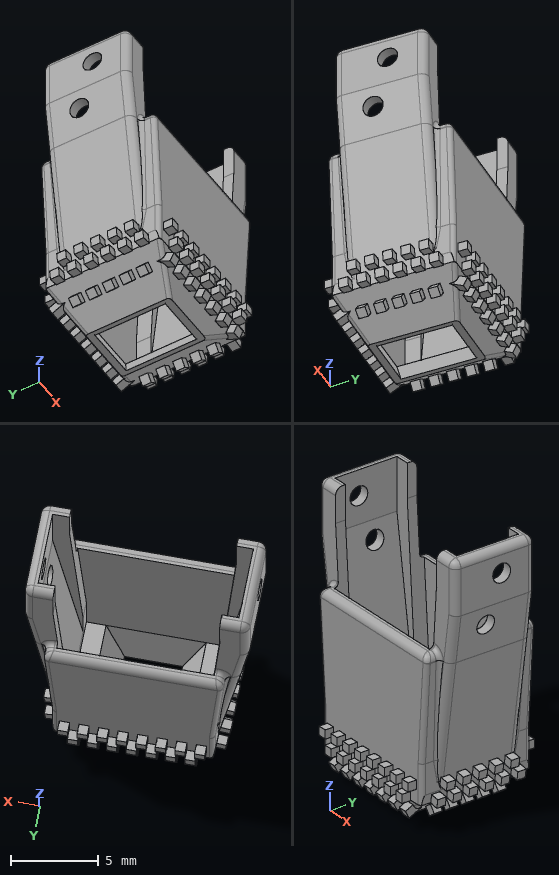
import cadquery as cq
import math

part_height = 18.3
body_top = 12.0
neck_top = 4.75
nose_top = 2.05
leg_bend = 14.75
leg_inner_bend = 16.0

body_half_x = 4.75
body_half_y = 3.9
wall = 0.7
end_wall = 0.68
body_draft = math.tan(math.radians(4))
corner_radius = 0.3
rim_radius = 0.5

nose_half_x = 1.98
nose_half_y = 2.87
opening_half_x = 1.68
opening_half_y = 2.38
funnel_half_x = 2.92

leg_half_x = 6.55
leg_half_y = 2.9
leg_foot_x = 4.65
leg_slope = (leg_half_x - leg_foot_x) / (leg_bend - nose_top)
leg_radius = 0.5
root_radius = 0.3

hole_diameter = 1.25
hole_offset_y = 0.5
upper_hole_z = 16.6
lower_hole_z = 13.5

stud_size = 0.6
stud_root = 0.4
stud_pitch = 1.14
upper_row_z = 3.3
middle_row_z = 2.31
nose_row_side_z = 1.43
nose_row_end_z = 1.25
end_counts = (5, 6, 5)
side_counts = (8, 7, 7)

root_overlap = 0.2
root_end_z = 3.3
kernel_gap = 0.001

cavity_half_x = body_half_x - end_wall
cavity_half_y = body_half_y - wall
body_top_half_x = body_half_x + body_draft * (body_top - neck_top)
rim_start = body_top - rim_radius
nose_slope_x = (leg_foot_x - nose_half_x) / nose_top
nose_slope_y = (body_half_y - nose_half_y) / nose_top


def leg_face_x(z):
    """X of the slanted outer face of the right leg."""
    return leg_foot_x + leg_slope * (z - nose_top)


def end_wall_x(z):
    """X of the outer end wall of the body."""
    return body_half_x + body_draft * max(0, z - neck_top)


def mirrored_prism(right_side, half_y):
    """Prism along Y whose XZ outline is the given right side and its mirror image."""
    left_side = [(-x, z) for x, z in reversed(right_side)]
    outline = cq.Workplane("XZ").polyline(right_side + left_side).close()
    return outline.extrude(half_y, both=True)


def frustum(bottom_half_x, bottom_half_y, top_half_x, top_half_y):
    """Four-sided taper from z = 0 to the top of the nose."""
    bottom = cq.Workplane("XY").rect(2 * bottom_half_x, 2 * bottom_half_y)
    top = bottom.workplane(offset=nose_top).rect(2 * top_half_x, 2 * top_half_y)
    return top.loft(ruled=True)


def mirrored_four_ways(shape):
    """The shape together with its mirror images in X and in Y."""
    pair = shape.union(shape.mirror("YZ"))
    return pair.union(pair.mirror("XZ"))


def slab(bottom, top):
    """Wide block that spans the given heights."""
    width = 2 * part_height
    return cq.Workplane("XY", origin=(0, 0, bottom)).rect(width, width).extrude(top - bottom)


def make_body():
    """Body block with rounded corners and rim, its foot trimmed by the slope of the legs."""
    shell = mirrored_prism(
        [
            (body_half_x, nose_top),
            (body_half_x, neck_top),
            (body_top_half_x, body_top),
        ],
        body_half_y,
    )
    shell = shell.edges("not(#Z or |Y)").fillet(corner_radius)
    shell = shell.faces(">Z").edges().fillet(rim_radius)
    return shell.intersect(make_plain_legs(2 * body_half_y))


def make_nose():
    """Tapered nose below the body."""
    nose = frustum(nose_half_x, nose_half_y, leg_foot_x, body_half_y)
    return nose.edges("not #Z").fillet(corner_radius)


def make_plain_legs(half_y):
    """Both legs as one sharp-edged block that runs through the body."""
    return mirrored_prism(
        [
            (leg_foot_x, nose_top),
            (leg_half_x, leg_bend),
            (leg_half_x, part_height),
        ],
        half_y,
    )


def round_legs(legs):
    """Round the outer upright edges and the top edges of the legs."""
    corners = [
        edge
        for edge in legs.edges("not #Z").vals()
        if edge.geomType() == "LINE"
        and abs(edge.Center().x) > body_top_half_x
        and abs(edge.Center().y) > leg_half_y - kernel_gap
    ]
    legs = legs.newObject(corners).fillet(leg_radius)
    return legs.faces(">Z").edges().fillet(leg_radius - kernel_gap)


def make_upper_half(body, plain_legs):
    """Rim of the body and the legs above it, joined by hollow fillets."""
    joined = body.union(plain_legs).intersect(slab(rim_start, part_height))
    in_corner = cq.selectors.BoxSelector(
        (-body_top_half_x, -leg_half_y - kernel_gap, body_top - kernel_gap),
        (body_top_half_x, leg_half_y + kernel_gap, body_top + kernel_gap),
    )
    return round_legs(joined.edges("|X").edges(in_corner).fillet(root_radius))


def make_lower_half(body, plain_legs):
    """Body and legs below the rim, on top of the nose."""
    joined = body.union(round_legs(plain_legs)).intersect(slab(nose_top, rim_start))
    return joined.union(make_side_roots()).union(make_nose())


def root_section(z):
    """Section at height z between end wall and leg, closed by the arc of a rolling ball."""
    wall_x = end_wall_x(z)
    edge_centre_x = leg_face_x(z) - leg_radius
    edge_centre_y = leg_half_y - leg_radius
    ball_x = wall_x + root_radius
    reach = leg_radius + root_radius
    run_x = max(0, ball_x - edge_centre_x)
    ball_y = edge_centre_y + math.sqrt(reach**2 - run_x**2)
    turn = math.asin(run_x / reach)
    touch_x = ball_x - root_radius * math.sin(turn)
    touch_y = ball_y - root_radius * math.cos(turn)
    middle_angle = (math.pi + 1.5 * math.pi - turn) / 2
    middle = (
        ball_x + root_radius * math.cos(middle_angle),
        ball_y + root_radius * math.sin(middle_angle),
    )
    return (
        cq.Workplane("XY", origin=(0, 0, z))
        .moveTo(wall_x, ball_y)
        .threePointArc(middle, (touch_x, touch_y))
        .lineTo(touch_x, edge_centre_y)
        .lineTo(wall_x - root_overlap, edge_centre_y)
        .lineTo(wall_x - root_overlap, ball_y)
        .close()
        .val()
    )


def make_side_roots():
    """Hollow fillets that run down between the end walls and the rounded leg edges."""
    heights = [root_end_z, neck_top, rim_start]
    roots = cq.Workplane(cq.Solid.makeLoft([root_section(z) for z in heights], True))
    return mirrored_four_ways(roots)


def make_cavity():
    """Space inside the body, the leg channels and the funnel through the nose."""
    bend_half_x = cavity_half_x + body_draft * (leg_inner_bend - neck_top)
    room = mirrored_prism(
        [
            (cavity_half_x, nose_top),
            (cavity_half_x, neck_top),
            (bend_half_x, leg_inner_bend),
            (bend_half_x, part_height),
        ],
        cavity_half_y,
    )
    channels = mirrored_prism(
        [
            (leg_foot_x - wall, nose_top),
            (leg_half_x - wall, leg_bend),
            (leg_half_x - wall, part_height),
        ],
        leg_half_y - wall,
    )
    funnel = frustum(opening_half_x, opening_half_y, funnel_half_x, cavity_half_y)
    return room.union(channels).union(funnel)


def make_leg_holes():
    """Two cross holes in each leg; the legs are half a turn apart about Z."""
    centres = [(hole_offset_y, lower_hole_z), (-hole_offset_y, upper_hole_z)]
    left = cq.Workplane("YZ").pushPoints(centres).circle(hole_diameter / 2).extrude(-leg_half_x)
    return left.union(left.rotate((0, 0, 0), (0, 0, 1), 180))


def row_places(count):
    """Evenly pitched places of a row of studs, centred on zero."""
    return [stud_pitch * (i - (count - 1) / 2) for i in range(count)]


def stud_row(count, surface, z, lean):
    """Solids of a row of studs on the face at x = surface, leaning down by the given angle."""
    length = stud_size + stud_root
    stud = cq.Workplane("XY").box(length, stud_size, stud_size)
    stud = stud.translate((length / 2 - stud_root, 0, 0)).rotate((0, 0, 0), (0, 1, 0), lean)
    return [stud.translate((surface, y, z)).val() for y in row_places(count)]


def make_studs():
    """Solids of three rows of studs on each of the four sides."""
    leg_lean = math.degrees(math.atan(leg_slope))
    end_lean = math.degrees(math.atan(nose_slope_x))
    side_lean = math.degrees(math.atan(nose_slope_y))
    nose_end_x = nose_half_x + nose_slope_x * nose_row_end_z
    nose_side_y = nose_half_y + nose_slope_y * nose_row_side_z
    end_rows = [
        stud_row(end_counts[0], leg_face_x(upper_row_z), upper_row_z, leg_lean),
        stud_row(end_counts[1], leg_face_x(middle_row_z), middle_row_z, leg_lean),
        stud_row(end_counts[2], nose_end_x, nose_row_end_z, end_lean),
    ]
    side_rows = [
        stud_row(side_counts[0], body_half_y, upper_row_z, 0),
        stud_row(side_counts[1], body_half_y, middle_row_z, 0),
        stud_row(side_counts[2], nose_side_y, nose_row_side_z, side_lean),
    ]
    studs = []
    for rows, first_turn in ((end_rows, 0), (side_rows, 90)):
        for row in rows:
            for turn in (first_turn, first_turn + 180):
                studs += [stud.rotate(cq.Vector(0, 0, 0), cq.Vector(0, 0, 1), turn) for stud in row]
    return studs


body = make_body()
plain_legs = make_plain_legs(leg_half_y)
result = make_lower_half(body, plain_legs).union(make_upper_half(body, plain_legs), clean=False)
result = result.cut(make_cavity(), clean=False).cut(make_leg_holes(), clean=False)
result = cq.Workplane(result.val().fuse(*make_studs()))